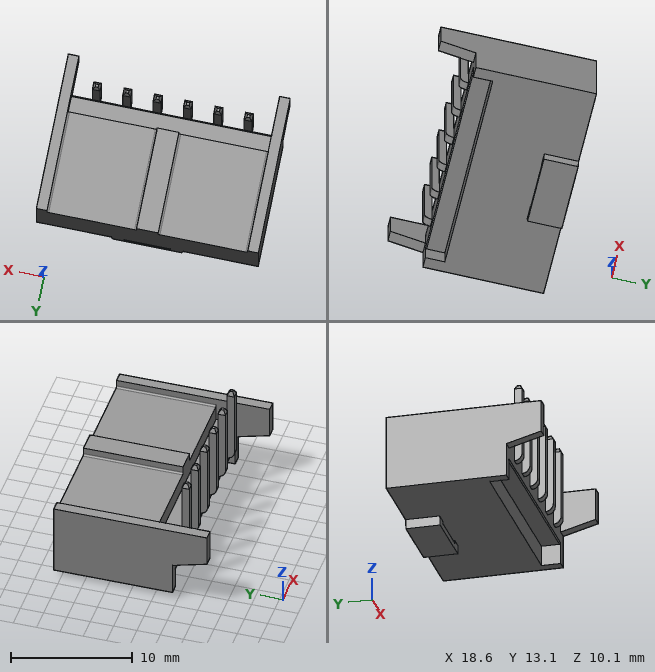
import cadquery as cq
import math


WIDTH = 18.59
HOUSING_DEPTH = 10.19
ARM_LENGTH = 2.95
WALL_HEIGHT = 6.41
WALL_THICKNESS = 0.9
ROOF_HEIGHT = 5.69
INNER_WIDTH = WIDTH - 2 * WALL_THICKNESS

ARM_TIP_BOTTOM = 3.65
ARM_ROOT_BOTTOM = 2.85

BAR_TOP = 4.31
BAR_BOTTOM = 1.75
STEP_DEPTH = 1.64
BAR_CHAMFER = 0.1

RIB_WIDTH = 1.82
CORNER_RADIUS = 0.15

PIN_COUNT = 6
PIN_ROW_LENGTH = 12.7
PIN_PITCH = PIN_ROW_LENGTH / (PIN_COUNT - 1)
PIN_SIZE = 0.65
PIN_TOP = 9.35
PIN_BOTTOM = 2.47
PIN_TIP_HEIGHT = 0.37
PIN_TIP_INSET = 0.2

CLIP_HEIGHT = 0.76
CLIP_DEPTH = 2.9
CLIP_TOP_WIDTH = 6.02
CLIP_BOTTOM_WIDTH = 5.76
CLIP_GAP_WIDTH = 3.87
CLIP_GAP_HEIGHT = 0.25


def block(x_min, x_max, y_min, y_max, z_min, z_max):
    """Axis-aligned block between the given limits."""
    size = (x_max - x_min, y_max - y_min, z_max - z_min)
    return cq.Workplane("XY").box(*size, centered=False).translate((x_min, y_min, z_min))


def make_core():
    """Body between the side walls, stepped at the front so that only the pin bar reaches Y = 0."""
    profile = [
        (STEP_DEPTH, 0),
        (HOUSING_DEPTH, 0),
        (HOUSING_DEPTH, ROOF_HEIGHT),
        (STEP_DEPTH, ROOF_HEIGHT),
        (STEP_DEPTH, BAR_TOP),
        (BAR_CHAMFER, BAR_TOP),
        (0, BAR_TOP - BAR_CHAMFER),
        (0, BAR_BOTTOM + BAR_CHAMFER),
        (BAR_CHAMFER, BAR_BOTTOM),
        (STEP_DEPTH, BAR_BOTTOM),
    ]
    return cq.Workplane("YZ").polyline(profile).close().extrude(INNER_WIDTH / 2, both=True)


def make_side_wall(x_min):
    """Full-height wall with a forward arm whose underside slopes up to the tip."""
    profile = [
        (0, 0),
        (HOUSING_DEPTH, 0),
        (HOUSING_DEPTH, WALL_HEIGHT),
        (-ARM_LENGTH, WALL_HEIGHT),
        (-ARM_LENGTH, ARM_TIP_BOTTOM),
        (0, ARM_ROOT_BOTTOM),
    ]
    return cq.Workplane("YZ").workplane(offset=x_min).polyline(profile).close().extrude(WALL_THICKNESS)


def make_roof_rib():
    """Raised rib along the middle of the roof, level with the side walls."""
    return block(-RIB_WIDTH / 2, RIB_WIDTH / 2, STEP_DEPTH, HOUSING_DEPTH, ROOF_HEIGHT, WALL_HEIGHT)


def make_corner_fillet(x_corner, direction):
    """Concave fillet filling the corner between the roof and an upright face at x_corner.

    The fillet spreads along the roof in the given X direction (+1 or -1).
    """
    x_end = x_corner + direction * CORNER_RADIUS
    z_end = ROOF_HEIGHT + CORNER_RADIUS
    strip = block(
        min(x_corner, x_end), max(x_corner, x_end), STEP_DEPTH, HOUSING_DEPTH, ROOF_HEIGHT, z_end
    )
    hollow = (
        cq.Workplane("XZ", origin=(x_end, HOUSING_DEPTH, z_end))
        .circle(CORNER_RADIUS)
        .extrude(HOUSING_DEPTH - STEP_DEPTH)
    )
    return strip.cut(hollow)


def make_pin(x_center):
    """Square pin standing in front of the bar, bent back into it at the foot, with a tapered tip."""
    half = PIN_SIZE / 2
    shoulder = PIN_TOP - PIN_TIP_HEIGHT
    bend = PIN_SIZE * math.sqrt(0.5)
    shank = (
        cq.Workplane("YZ", origin=(x_center, 0, 0))
        .moveTo(0, PIN_BOTTOM)
        .lineTo(0, shoulder)
        .lineTo(-PIN_SIZE, shoulder)
        .lineTo(-PIN_SIZE, PIN_BOTTOM + PIN_SIZE)
        .threePointArc((-bend, PIN_BOTTOM + PIN_SIZE - bend), (0, PIN_BOTTOM))
        .close()
        .extrude(half, both=True)
    )
    tip_size = PIN_SIZE - 2 * PIN_TIP_INSET
    tip = (
        cq.Workplane("XY", origin=(x_center, -half, shoulder))
        .rect(PIN_SIZE, PIN_SIZE)
        .workplane(offset=PIN_TIP_HEIGHT)
        .rect(tip_size, tip_size)
        .loft(ruled=True)
    )
    return shank.union(tip)


def make_clip():
    """Tapered bridge under the rear edge, open between its two feet."""
    profile = [
        (-CLIP_TOP_WIDTH / 2, 0),
        (-CLIP_BOTTOM_WIDTH / 2, -CLIP_HEIGHT),
        (CLIP_BOTTOM_WIDTH / 2, -CLIP_HEIGHT),
        (CLIP_TOP_WIDTH / 2, 0),
        (CLIP_GAP_WIDTH / 2, 0),
        (CLIP_GAP_WIDTH / 2, -CLIP_GAP_HEIGHT),
        (-CLIP_GAP_WIDTH / 2, -CLIP_GAP_HEIGHT),
        (-CLIP_GAP_WIDTH / 2, 0),
    ]
    return cq.Workplane("XZ", origin=(0, HOUSING_DEPTH, 0)).polyline(profile).close().extrude(CLIP_DEPTH)


result = make_core()
result = result.union(make_side_wall(-WIDTH / 2))
result = result.union(make_side_wall(INNER_WIDTH / 2))
result = result.union(make_roof_rib())
for side in (-1, 1):
    result = result.union(make_corner_fillet(side * INNER_WIDTH / 2, -side))
    result = result.union(make_corner_fillet(side * RIB_WIDTH / 2, side))
for index in range(PIN_COUNT):
    result = result.union(make_pin(index * PIN_PITCH - PIN_ROW_LENGTH / 2))
result = result.union(make_clip())